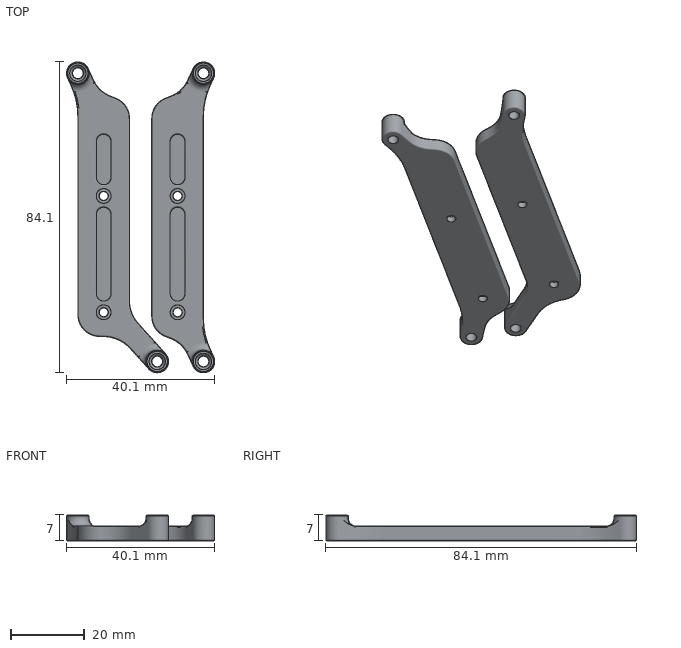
import cadquery as cq
import math

plate_half_width = 7.0
plate_thickness = 4.0
edge_fillet = 0.4

plate_x = 10.0
boss_x = plate_x + plate_half_width
inner_edge_x = plate_half_width - plate_x
boss_y = 39.0
left_boss = (-boss_x, boss_y)
angled_boss = (4.5, -boss_y)

boss_radius = 3.05
boss_height = 7.0
boss_chamfer = 0.3
flare_radius = 2.0
boss_hole_diameter = 2.9
countersink_diameter = 4.4
countersink_depth = 0.75

left_arm = 90 + 25.0
angled_arm = 42.0 - 90
shoulder_slope = 21.0
shoulder_y = 33.5
flat_shoulder_y = 32.25

corner_radius = 6.0
inner_bend_radius = 8.0
outer_bend_radius = 20.0
angled_outer_bend_radius = 10.0
angled_inner_bend_radius = 9.0

screw_hole_diameter = 2.4
screw_head_diameter = 4.0
screw_head_depth = 2.0
screw_upper_y = 5.8
screw_lower_y = -25.7
slot_width = 4.0
slot_depth = 3.0
slot_floor_fillet = 0.25
slot_gap = 3.05
slot_upper_end = 22.5


def along(point, angle, distance):
    """Point at a distance in the direction of an angle in degrees from +X."""
    turn = math.radians(angle)
    return (point[0] + distance * math.cos(turn), point[1] + distance * math.sin(turn))


def crossing(point_a, angle_a, point_b, angle_b):
    """Point where two lines, each given by a point and an angle, meet."""
    dx = point_b[0] - point_a[0]
    dy = point_b[1] - point_a[1]
    turn_b = math.radians(angle_b)
    spread = math.sin(math.radians(angle_b - angle_a))
    return along(point_a, angle_a, (dx * math.sin(turn_b) - dy * math.cos(turn_b)) / spread)


def corner_arc(corner, angle_back, angle_ahead, radius):
    """Start, middle and end of the arc that rounds a corner between two edges leaving it."""
    half_turn = ((angle_ahead - angle_back + 180) % 360 - 180) / 2
    spread = math.radians(abs(half_turn))
    setback = radius / math.tan(spread)
    return (
        along(corner, angle_back, setback),
        along(corner, angle_back + half_turn, radius / math.sin(spread) - radius),
        along(corner, angle_ahead, setback),
    )


def tip_arc(boss, arm_direction):
    """Half circle round a boss, running clockwise, that ends its arm."""
    return tuple(along(boss, arm_direction + turn, boss_radius) for turn in (90, 0, -90))


def straight_end():
    """Arcs, running clockwise, of the left plate's +Y end, whose arm leans outward."""
    tip = tip_arc(left_boss, left_arm)
    shoulder = (-plate_x, shoulder_y)
    outer_corner = crossing(tip[0], left_arm, (-boss_x, 0), 90)
    bend = crossing(tip[2], left_arm, shoulder, -shoulder_slope)
    inner_corner = crossing((inner_edge_x, 0), 90, shoulder, -shoulder_slope)
    return [
        corner_arc(outer_corner, -90, left_arm, outer_bend_radius),
        tip,
        corner_arc(bend, left_arm, -shoulder_slope, inner_bend_radius),
        corner_arc(inner_corner, 180 - shoulder_slope, -90, corner_radius),
    ]


def angled_end():
    """Arcs, running clockwise, of the left plate's -Y end, whose arm reaches inward."""
    tip = tip_arc(angled_boss, angled_arm)
    inner_corner = crossing(tip[0], angled_arm, (inner_edge_x, 0), 90)
    bend = crossing(tip[2], angled_arm, (-plate_x, -flat_shoulder_y), 0)
    return [
        corner_arc(inner_corner, 90, angled_arm, angled_inner_bend_radius),
        tip,
        corner_arc(bend, angled_arm, 180, angled_outer_bend_radius),
        corner_arc((-boss_x, -flat_shoulder_y), 0, 90, corner_radius),
    ]


def mirror_x(arcs):
    """Arcs mirrored across X = 0 and reversed, so that they still run clockwise."""
    return [tuple((-x, y) for x, y in reversed(arc)) for arc in reversed(arcs)]


def mirror_y(arcs):
    """Arcs mirrored across Y = 0 and reversed, so that they still run clockwise."""
    return [tuple((x, -y) for x, y in reversed(arc)) for arc in reversed(arcs)]


def prism(arcs, height):
    """Solid whose outline runs through the arcs, with straight edges between them."""
    outline = cq.Workplane("XY").moveTo(*arcs[-1][2])
    for start, middle, end in arcs:
        outline = outline.lineTo(*start).threePointArc(middle, end)
    return outline.close().extrude(height)


def flared_boss(boss, arm_direction, silhouette):
    """Boss with a concave fillet down to the plate's top, trimmed to the arm's sides."""
    foot = boss_radius + flare_radius
    flare_top = plate_thickness + flare_radius
    flare_middle = flare_radius * (1 - math.sqrt(0.5))
    skirt = (
        cq.Workplane("XZ").moveTo(0, edge_fillet).lineTo(foot, edge_fillet).lineTo(foot, plate_thickness)
        .threePointArc((boss_radius + flare_middle, plate_thickness + flare_middle), (boss_radius, flare_top))
        .lineTo(0, flare_top).close()
        .revolve(360, (0, 0), (0, 1))
        .rotate((0, 0, 0), (0, 0, 1), arm_direction)
        .translate((*boss, 0))
    )
    return (
        silhouette.intersect(skirt)
        .faces(">Z").wires().toPending().extrude(boss_height - flare_top)
    )


def rim_cutter(boss):
    """Ring, triangular in section, that chamfers a boss's top rim."""
    inner = boss_radius - boss_chamfer
    outer = boss_radius + boss_chamfer
    return (
        cq.Workplane("XZ").moveTo(inner, boss_height).lineTo(outer, boss_height)
        .lineTo(outer, boss_height - 2 * boss_chamfer).close()
        .revolve(360, (0, 0), (0, 1))
        .translate((*boss, 0))
    )


def boss_hole(boss):
    """Through hole with a countersink at the boss top."""
    hole_radius = boss_hole_diameter / 2
    return (
        cq.Workplane("XZ").lineTo(hole_radius, 0)
        .lineTo(hole_radius, boss_height - countersink_depth)
        .lineTo(countersink_diameter / 2, boss_height)
        .lineTo(0, boss_height).close()
        .revolve(360, (0, 0), (0, 1))
        .translate((*boss, 0))
    )


def screw_hole(x, y):
    """Through hole with a counterbore in the plate's top."""
    through = cq.Workplane("XY").center(x, y).circle(screw_hole_diameter / 2).extrude(plate_thickness)
    head = (
        cq.Workplane("XY").workplane(offset=plate_thickness - screw_head_depth)
        .center(x, y).circle(screw_head_diameter / 2).extrude(screw_head_depth)
    )
    return through.union(head)


def slot(x, low, high):
    """Blind round-ended slot between two Y ends, with a filleted floor."""
    return (
        cq.Workplane("XY").workplane(offset=plate_thickness - slot_depth)
        .center(x, (low + high) / 2)
        .slot2D(high - low, slot_width, 90).extrude(slot_depth)
        .faces("<Z").edges().fillet(slot_floor_fillet)
    )


def mount(outline, bosses, x):
    """One complete mounting plate, with its centre line at x."""
    silhouette = prism(outline, boss_height)
    body = (
        prism(outline, plate_thickness)
        .cut(slot(x, screw_upper_y + slot_gap, slot_upper_end))
        .cut(slot(x, screw_lower_y + slot_gap, screw_upper_y - slot_gap))
        .faces(">Z").edges().fillet(edge_fillet)
        .faces("<Z").edges().fillet(edge_fillet)
    )
    for boss, arm_direction in bosses:
        body = body.union(flared_boss(boss, arm_direction, silhouette))
    for boss, _ in bosses:
        body = body.cut(rim_cutter(boss)).cut(boss_hole(boss))
    for y in (screw_upper_y, screw_lower_y):
        body = body.cut(screw_hole(x, y))
    return body


left_mount = mount(
    angled_end() + straight_end(),
    [(left_boss, left_arm), (angled_boss, angled_arm)],
    -plate_x,
)

right_upper_end = mirror_x(straight_end())
right_mount = mount(
    right_upper_end + mirror_y(right_upper_end),
    [((boss_x, boss_y), 180 - left_arm), ((boss_x, -boss_y), left_arm - 180)],
    plate_x,
)

result = cq.Compound.makeCompound([left_mount.val(), right_mount.val()])